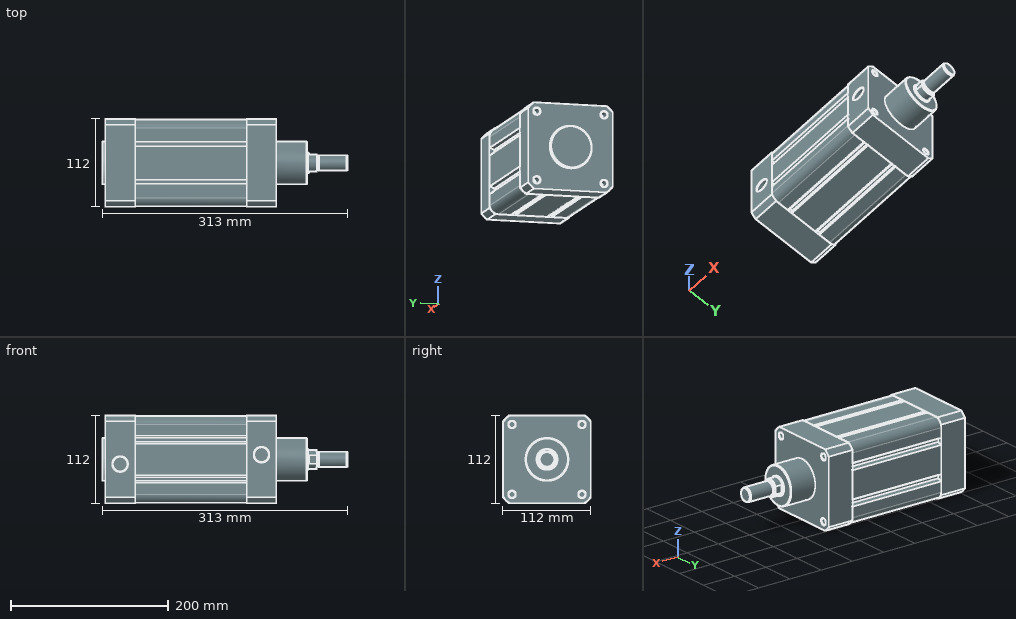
import cadquery as cq

PILOT_LENGTH = 4.0
CAP_LENGTH = 38.0
BARREL_LENGTH = 142.0
NOSE_LENGTH = 39.0
WIPER_LENGTH = 1.5
REAR_CAP_X = PILOT_LENGTH
BARREL_X = REAR_CAP_X + CAP_LENGTH
FRONT_CAP_X = BARREL_X + BARREL_LENGTH
NOSE_X = FRONT_CAP_X + CAP_LENGTH
WIPER_X = NOSE_X + NOSE_LENGTH
ROD_X = WIPER_X + WIPER_LENGTH

CAP_SIZE = 112.0
CAP_CORNER_DIAMETER = 148.0
PILOT_DIAMETER = 55.0
PILOT_CHAMFER = 1.0
WIPER_DIAMETER = 27.0
WIPER_CHAMFER = 0.5
TIE_SPACING = 89.0
TIE_DIAMETER = 8.5
TIE_DEPTH = 20.0
TIE_CHAMFER = 0.75
PORT_DIAMETER = 18.6
PORT_DEPTH = 16.0
PORT_CHAMFER = 0.8
PORT_OFFSET_Z = 6.0

BARREL_SIZE = 111.0
BARREL_RADIUS = 11.0
GROOVE_DEPTH = 6.0
SIDE_GROOVE_Z = 25.0
SIDE_GROOVE_MOUTH = 9.6
SIDE_GROOVE_FLOOR = 4.9
TOP_GROOVE_Y = 24.0
TOP_GROOVE_MOUTH = 5.6
TOP_GROOVE_LIP = 1.4
TOP_GROOVE_INNER = 7.6

ROD_DIAMETER = 24.5
ROD_SHOULDER_X = 273.0
ROUND_COLLAR_LENGTH = 1.0
FLATS_WIDTH = 22.0
FLATS_X = ROD_X + ROUND_COLLAR_LENGTH
THREAD_DIAMETER = 20.0
RELIEF_DIAMETER = 18.4
RELIEF_FALL_LENGTH = 2.0
RELIEF_RISE_LENGTH = 1.3
RELIEF_BOTTOM_X = ROD_SHOULDER_X + RELIEF_FALL_LENGTH
THREAD_X = RELIEF_BOTTOM_X + RELIEF_RISE_LENGTH
THREAD_END_X = 313.0
THREAD_CHAMFER_LENGTH = 2.0
THREAD_CHAMFER_RISE = 0.8


def section_plane(x):
    """YZ plane at x: local x is +Y, local y is +Z, normal is +X."""
    return cq.Workplane("YZ", origin=(x, 0, 0))


def countersunk_hole(mouth_centre, direction, diameter, depth, chamfer):
    """Cutter for a blind round hole with a chamfered mouth, running along the given direction."""
    centre = cq.Vector(*mouth_centre)
    axis = cq.Vector(*direction)
    bore = cq.Solid.makeCylinder(diameter / 2, depth, centre, axis)
    mouth = cq.Solid.makeCone(diameter / 2 + chamfer, diameter / 2, chamfer, centre, axis)
    return cq.Workplane(bore).union(cq.Workplane(mouth))


def make_cap_block(x, outer_x, inward, port_z):
    """Square block with turned corners, tie-rod holes in its outer face and a port in its -Y side."""
    block = section_plane(x).rect(CAP_SIZE, CAP_SIZE).extrude(CAP_LENGTH)
    block = block.intersect(section_plane(x).circle(CAP_CORNER_DIAMETER / 2).extrude(CAP_LENGTH))
    for y in (-TIE_SPACING / 2, TIE_SPACING / 2):
        for z in (-TIE_SPACING / 2, TIE_SPACING / 2):
            hole = countersunk_hole((outer_x, y, z), (inward, 0, 0), TIE_DIAMETER, TIE_DEPTH, TIE_CHAMFER)
            block = block.cut(hole)
    port_centre = (x + CAP_LENGTH / 2, -CAP_SIZE / 2, port_z)
    port = countersunk_hole(port_centre, (0, 1, 0), PORT_DIAMETER, PORT_DEPTH, PORT_CHAMFER)
    return block.cut(port)


def make_rear_cap():
    pilot = section_plane(0).circle(PILOT_DIAMETER / 2).extrude(PILOT_LENGTH)
    pilot = pilot.faces("<X").chamfer(PILOT_CHAMFER)
    return make_cap_block(REAR_CAP_X, REAR_CAP_X, 1, -PORT_OFFSET_Z).union(pilot)


def make_front_cap():
    """Front cap with its round nose and the raised wiper ring around the rod exit."""
    nose = section_plane(NOSE_X).circle(PILOT_DIAMETER / 2).extrude(NOSE_LENGTH)
    nose = nose.faces(">X").chamfer(PILOT_CHAMFER)
    wiper = section_plane(WIPER_X).circle(WIPER_DIAMETER / 2).extrude(WIPER_LENGTH)
    wiper = wiper.faces(">X").chamfer(WIPER_CHAMFER)
    return make_cap_block(FRONT_CAP_X, NOSE_X, -1, PORT_OFFSET_Z).union(nose).union(wiper)


def side_groove(side, z):
    """Tapered groove in the -Y (side = -1) or +Y (side = 1) face, running the length of the barrel."""
    face_y = side * BARREL_SIZE / 2
    floor_y = face_y - side * GROOVE_DEPTH
    return (
        section_plane(BARREL_X)
        .moveTo(face_y, z - SIDE_GROOVE_MOUTH / 2)
        .lineTo(face_y, z + SIDE_GROOVE_MOUTH / 2)
        .lineTo(floor_y, z + SIDE_GROOVE_FLOOR / 2)
        .lineTo(floor_y, z - SIDE_GROOVE_FLOOR / 2)
        .close()
        .extrude(BARREL_LENGTH)
    )


def top_groove(side, y):
    """T-shaped groove in the top (side = 1) or bottom (side = -1) face."""
    mouth_z = side * (BARREL_SIZE - GROOVE_DEPTH) / 2
    inner_height = GROOVE_DEPTH - TOP_GROOVE_LIP
    inner_z = side * (BARREL_SIZE / 2 - TOP_GROOVE_LIP - inner_height / 2)
    mouth = section_plane(BARREL_X).center(y, mouth_z).rect(TOP_GROOVE_MOUTH, GROOVE_DEPTH)
    inner = section_plane(BARREL_X).center(y, inner_z).rect(TOP_GROOVE_INNER, inner_height)
    return mouth.extrude(BARREL_LENGTH).union(inner.extrude(BARREL_LENGTH))


def make_barrel():
    barrel = section_plane(BARREL_X).rect(BARREL_SIZE, BARREL_SIZE).extrude(BARREL_LENGTH)
    barrel = barrel.edges("|X").fillet(BARREL_RADIUS)
    for side in (-1, 1):
        for across in (-1, 1):
            barrel = barrel.cut(side_groove(side, across * SIDE_GROOVE_Z))
            barrel = barrel.cut(top_groove(side, across * TOP_GROOVE_Y))
    return barrel


def make_rod():
    """Turned rod end: shank with two wrench flats, thread relief groove and chamfered thread."""
    rod = (
        cq.Workplane("XZ")
        .moveTo(ROD_X, 0)
        .lineTo(ROD_X, ROD_DIAMETER / 2)
        .lineTo(ROD_SHOULDER_X, ROD_DIAMETER / 2)
        .lineTo(ROD_SHOULDER_X, THREAD_DIAMETER / 2)
        .lineTo(RELIEF_BOTTOM_X, RELIEF_DIAMETER / 2)
        .lineTo(THREAD_X, THREAD_DIAMETER / 2)
        .lineTo(THREAD_END_X - THREAD_CHAMFER_LENGTH, THREAD_DIAMETER / 2)
        .lineTo(THREAD_END_X, THREAD_DIAMETER / 2 - THREAD_CHAMFER_RISE)
        .lineTo(THREAD_END_X, 0)
        .close()
        .revolve(360, (0, 0, 0), (1, 0, 0))
    )
    flats_length = ROD_SHOULDER_X - FLATS_X
    flat_depth = (ROD_DIAMETER - FLATS_WIDTH) / 2
    for side in (-1, 1):
        flat_y = side * (FLATS_WIDTH + flat_depth) / 2
        cutter = section_plane(FLATS_X).center(flat_y, 0).rect(flat_depth, ROD_DIAMETER)
        rod = rod.cut(cutter.extrude(flats_length))
    return rod


rear_cap = make_rear_cap()
barrel = make_barrel()
front_cap = make_front_cap()
rod = make_rod()

result = cq.Compound.makeCompound([rear_cap.val(), barrel.val(), front_cap.val(), rod.val()])